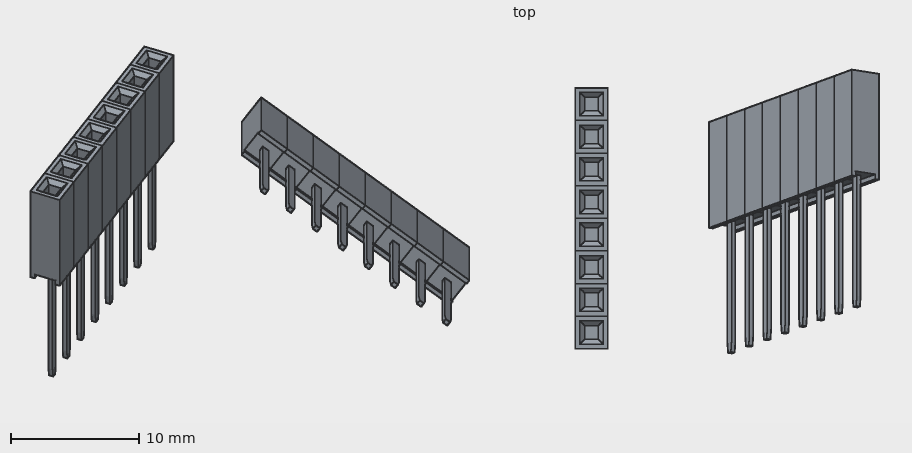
import cadquery as cq

CONTACT_COUNT = 8
ROW_LENGTH = 20.32
PITCH = ROW_LENGTH / CONTACT_COUNT
TOTAL_HEIGHT = 18.6

HOUSING_WIDTH = PITCH
HOUSING_HEIGHT = 8.5
WALL = 0.37

CHANNEL_WIDTH = HOUSING_WIDTH - 2 * WALL
CHANNEL_DEPTH = 0.39

FUNNEL_MOUTH = HOUSING_WIDTH - 2 * WALL
SOCKET_WIDTH = 1.08
FUNNEL_DEPTH = 0.37
SOCKET_FLOOR = WALL
SOCKET_DEPTH = HOUSING_HEIGHT - CHANNEL_DEPTH - SOCKET_FLOOR

PIN_THICKNESS = 0.37
PIN_WIDTH = 0.6
PIN_TIP_WIDTH = 0.4
PIN_TAPER_LENGTH = 0.8

HOUSING_BOTTOM_Z = TOTAL_HEIGHT - HOUSING_HEIGHT
CHANNEL_ROOF_Z = HOUSING_BOTTOM_Z + CHANNEL_DEPTH


def make_housing_block():
    """Square block with the open channel along Y across its underside."""
    block = (
        cq.Workplane("XY")
        .workplane(offset=HOUSING_BOTTOM_Z)
        .rect(HOUSING_WIDTH, PITCH)
        .extrude(HOUSING_HEIGHT)
    )
    channel = (
        cq.Workplane("XY")
        .workplane(offset=HOUSING_BOTTOM_Z)
        .rect(CHANNEL_WIDTH, PITCH)
        .extrude(CHANNEL_DEPTH)
    )
    return block.cut(channel)


def make_socket():
    """Funnel and blind hole to be cut from the top of a segment."""
    funnel = (
        cq.Workplane("XY")
        .workplane(offset=TOTAL_HEIGHT)
        .rect(FUNNEL_MOUTH, FUNNEL_MOUTH)
        .workplane(offset=-FUNNEL_DEPTH)
        .rect(SOCKET_WIDTH, SOCKET_WIDTH)
        .loft(ruled=True)
    )
    hole = (
        cq.Workplane("XY")
        .workplane(offset=TOTAL_HEIGHT - SOCKET_DEPTH)
        .rect(SOCKET_WIDTH, SOCKET_WIDTH)
        .extrude(SOCKET_DEPTH - FUNNEL_DEPTH)
    )
    return funnel.union(hole)


def make_pin():
    """Flat pin from the channel roof down to its tapered tip."""
    half_width = PIN_WIDTH / 2
    half_tip = PIN_TIP_WIDTH / 2
    return (
        cq.Workplane("YZ")
        .moveTo(-half_width, CHANNEL_ROOF_Z)
        .lineTo(-half_width, PIN_TAPER_LENGTH)
        .lineTo(-half_tip, 0)
        .lineTo(half_tip, 0)
        .lineTo(half_width, PIN_TAPER_LENGTH)
        .lineTo(half_width, CHANNEL_ROOF_Z)
        .close()
        .extrude(PIN_THICKNESS / 2, both=True)
    )


def make_contact_segment(y_center):
    """One body: a housing segment with its socket and its pin."""
    segment = make_housing_block().cut(make_socket()).union(make_pin())
    return segment.translate((0, y_center, 0))


first_y = (PITCH - ROW_LENGTH) / 2
contact_segments = [make_contact_segment(first_y + i * PITCH) for i in range(CONTACT_COUNT)]

result = cq.Compound.makeCompound([segment.val() for segment in contact_segments])